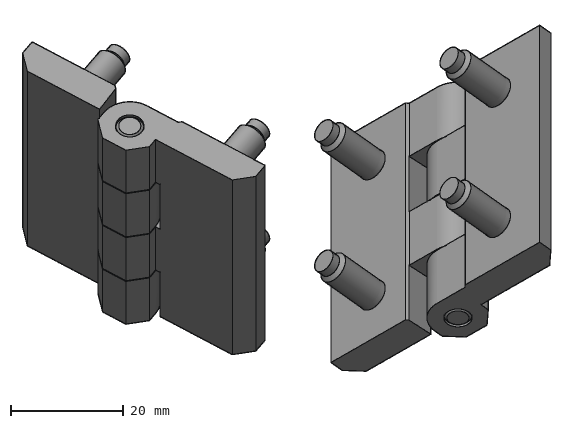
import cadquery as cq
import math


leaf_length = 50.0
overall_length = 50.2
leaf_reach = 25.0
plate_thickness = 6.0
edge_chamfer = 3.0

knuckle_radius = 5.5
knuckle_front = 4.95
back_step_x = 7.2
back_step = plate_thickness - knuckle_radius
knuckle_pitch = 12.55
joint_gap = 0.2
slot_front_x = 6.5
slot_back_x = 6.75

pin_radius = 2.5
pin_chamfer = 0.55
leaf_offset = (overall_length - leaf_length) / 2
pin_length = leaf_length - 2 * leaf_offset

stud_spacing = 30.0
stud_x = 15.0
stud_radius = 2.95
stud_root_radius = 3.0
stud_root_length = 1.0
stud_length = 13.0
stud_tip_radius = 2.2
stud_tip_length = 1.75
stud_cone_length = stud_radius - stud_tip_radius


def leaf_blank():
    """Plate and full-length knuckle barrel of the right leaf, before slotting."""
    arc_mid = knuckle_radius * math.sqrt(0.5)
    side_end_y = edge_chamfer - knuckle_front
    flat_half_width = knuckle_radius - edge_chamfer
    return (
        cq.Workplane("XY")
        .workplane(offset=-leaf_offset - leaf_length / 2)
        .moveTo(knuckle_radius, 0)
        .lineTo(knuckle_radius, side_end_y)
        .lineTo(flat_half_width, -knuckle_front)
        .lineTo(-flat_half_width, -knuckle_front)
        .lineTo(-knuckle_radius, side_end_y)
        .lineTo(-knuckle_radius, 0)
        .threePointArc((-arc_mid, arc_mid), (0, knuckle_radius))
        .lineTo(back_step_x - back_step, knuckle_radius)
        .lineTo(back_step_x, plate_thickness)
        .lineTo(leaf_reach, plate_thickness)
        .lineTo(leaf_reach, plate_thickness - edge_chamfer)
        .lineTo(leaf_reach - edge_chamfer, 0)
        .close()
        .extrude(leaf_length)
    )


def knuckle_slot(bottom, top):
    """Clearance for one knuckle of the other leaf, with a slightly sloped floor."""
    floor_slope = (slot_back_x - slot_front_x) / knuckle_radius
    outside = 2 * knuckle_radius
    return (
        cq.Workplane("XY")
        .workplane(offset=bottom)
        .moveTo(-outside, -outside)
        .lineTo(slot_front_x, -outside)
        .lineTo(slot_front_x, 0)
        .lineTo(slot_front_x + floor_slope * outside, outside)
        .lineTo(-outside, outside)
        .close()
        .extrude(top - bottom)
    )


def stud(z):
    """Mounting stud with a flared root, a conical shoulder and a reduced tip, standing on the plate back."""
    tip_start = stud_length - stud_tip_length
    return (
        cq.Workplane("XY")
        .lineTo(stud_root_radius, 0)
        .lineTo(stud_radius, stud_root_length)
        .lineTo(stud_radius, tip_start - stud_cone_length)
        .lineTo(stud_tip_radius, tip_start)
        .lineTo(stud_tip_radius, stud_length)
        .lineTo(0, stud_length)
        .close()
        .revolve(360, (0, 0), (0, 1))
        .translate((stud_x, plate_thickness, z))
    )


def make_right_leaf():
    """Right leaf: knuckles at the top and just below the middle."""
    half_gap = joint_gap / 2
    leaf = leaf_blank()
    for slot_base in (0, -2 * knuckle_pitch):
        leaf = leaf.cut(knuckle_slot(slot_base - half_gap, slot_base + knuckle_pitch + half_gap))
    leaf = leaf.cut(cq.Workplane("XY").circle(pin_radius).extrude(overall_length, both=True))
    for side in (-1, 1):
        leaf = leaf.union(stud(side * stud_spacing / 2 - leaf_offset))
    return leaf


def make_left_leaf():
    """Left leaf: the right leaf turned half a turn about the Y axis."""
    return make_right_leaf().rotate((0, 0, 0), (0, 1, 0), 180)


def make_pin():
    """Hinge pin with chamfered ends."""
    return (
        cq.Workplane("XY")
        .circle(pin_radius)
        .extrude(pin_length / 2, both=True)
        .faces("|Z")
        .chamfer(pin_chamfer)
    )


right_leaf = make_right_leaf()
left_leaf = make_left_leaf()
pin = make_pin()

result = cq.Compound.makeCompound([right_leaf.val(), left_leaf.val(), pin.val()])